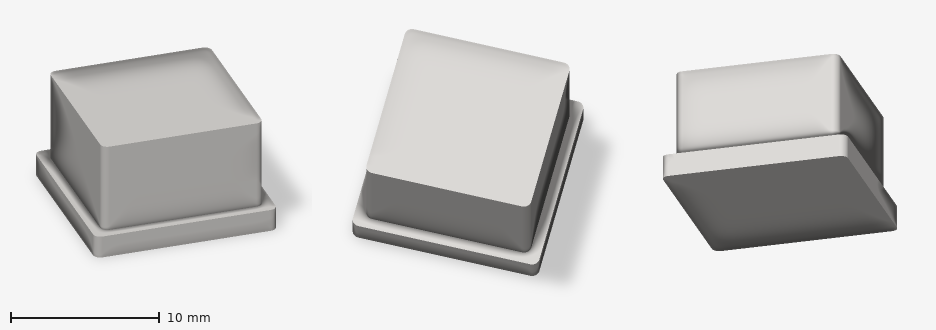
import cadquery as cq

total_height = 7.94
corner_radius = 0.5

flange_side = 12.95
flange_height = 1.59

block_side = 11.43
block_height = total_height - flange_height


def rounded_square(side, height, bottom):
    """Square prism with rounded vertical edges, centred on the Z axis."""
    return (
        cq.Workplane("XY")
        .workplane(offset=bottom)
        .rect(side, side)
        .extrude(height)
        .edges("|Z")
        .fillet(corner_radius)
    )


flange = rounded_square(flange_side, flange_height, 0)
block = rounded_square(block_side, block_height, flange_height)

result = flange.union(block)